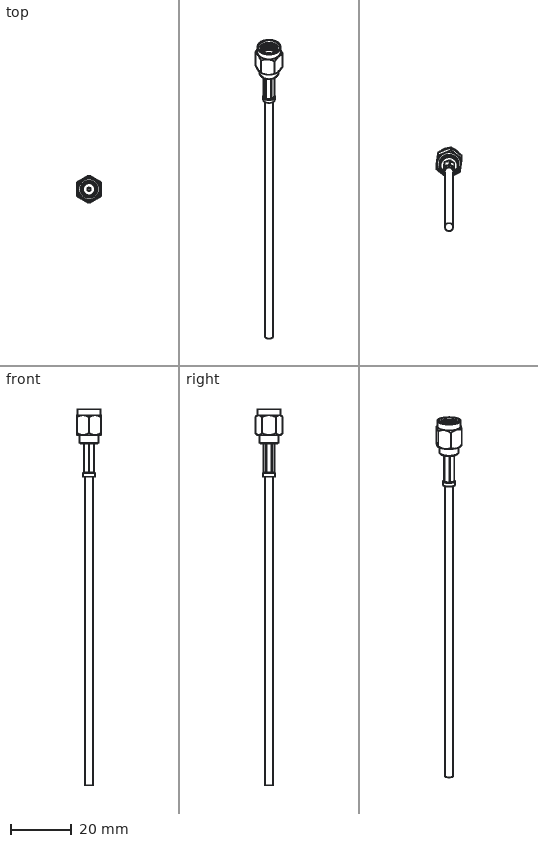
import cadquery as cq

total_length = 123.8

collar_diameter = 7.7
collar_length = 2.0
hex_across_flats = 7.9
hex_corner_diameter = 9.0
hex_length = 6.6
hex_bevel_diameter = 7.8
hex_bevel_height = 0.6
neck_diameter = 6.3
neck_length = 2.8
neck_chamfer = 0.4

thread_major_diameter = 6.3
thread_minor_diameter = 5.6
thread_pitch = 0.6
thread_turns = 8
mouth_diameter = 6.9
mouth_depth = 0.4
insert_diameter = 4.6
insert_bore = 4.0
insert_bore_depth = 1.2
insert_height = 2.5
pin_diameter = 1.16
pin_tip_diameter = 0.92
pin_length = 1.1

crimp_across_flats = 3.3
crimp_corner_diameter = 3.7
crimp_length = 9.4
flange_diameter = 4.0
flange_length = 1.5
flange_chamfer = 0.2

cable_diameter = 2.7

hex_top = total_length - collar_length
hex_bottom = hex_top - hex_length
neck_bottom = hex_bottom - neck_length
flange_top = neck_bottom - crimp_length
flange_bottom = flange_top - flange_length
socket_floor = total_length - mouth_depth - thread_turns * thread_pitch


def cylinder(diameter, bottom, top):
    return cq.Workplane("XY").workplane(offset=bottom).circle(diameter / 2).extrude(top - bottom)


def hexagon(across_flats, bottom, top):
    """Hexagonal prism with flats facing +X and -X."""
    prism = cq.Workplane("XY").workplane(offset=bottom).polygon(6, across_flats, circumscribed=True)
    return prism.extrude(top - bottom)


def make_turned_blank():
    """Round blank, bevelled at both ends, that trims the corners of the wrench hexagon."""
    bevel_radius = hex_bevel_diameter / 2
    corner_radius = hex_corner_diameter / 2
    outline = cq.Workplane("XZ").polyline([
        (0, hex_bottom),
        (bevel_radius, hex_bottom),
        (corner_radius, hex_bottom + hex_bevel_height),
        (corner_radius, hex_top - hex_bevel_height),
        (bevel_radius, hex_top),
        (0, hex_top),
    ])
    return outline.close().revolve(360, (0, 0, 0), (0, 1, 0))


def make_outside():
    """Wrench hexagon with turned-off corners between a round collar and a round neck."""
    wrench_hex = hexagon(hex_across_flats, hex_bottom, hex_top).intersect(make_turned_blank())
    collar = cylinder(collar_diameter, hex_top, total_length)
    neck = cylinder(neck_diameter, neck_bottom, hex_bottom).faces("<Z").chamfer(neck_chamfer)
    return wrench_hex.union(collar).union(neck)


def make_socket():
    """Space inside the socket: a flared mouth over ring-shaped V grooves that stand for the thread."""
    minor_radius = thread_minor_diameter / 2
    major_radius = thread_major_diameter / 2
    outline = cq.Workplane("XZ").moveTo(0, socket_floor).lineTo(minor_radius, socket_floor)
    for turn in range(thread_turns):
        groove_bottom = socket_floor + turn * thread_pitch
        outline = outline.lineTo(major_radius, groove_bottom + thread_pitch / 2)
        outline = outline.lineTo(minor_radius, groove_bottom + thread_pitch)
    outline = outline.lineTo(mouth_diameter / 2, total_length).lineTo(0, total_length).close()
    return outline.revolve(360, (0, 0, 0), (0, 1, 0))


def make_contact():
    """Round insert with a recessed face and a chamfered pin in its centre."""
    insert_top = socket_floor + insert_height
    recess_floor = insert_top - insert_bore_depth
    pin_top = recess_floor + pin_length
    insert = cylinder(insert_diameter, socket_floor, insert_top)
    insert = insert.cut(cylinder(insert_bore, recess_floor, insert_top))
    pin_chamfer = (pin_diameter - pin_tip_diameter) / 2
    pin = cylinder(pin_diameter, recess_floor, pin_top).faces(">Z").chamfer(pin_chamfer)
    return insert.union(pin)


def make_connector():
    return make_outside().cut(make_socket()).union(make_contact())


def make_ferrule():
    """Hexagonal crimp sleeve with a round flange at its lower end, bored for the cable."""
    crimp = hexagon(crimp_across_flats, flange_top, neck_bottom)
    crimp = crimp.intersect(cylinder(crimp_corner_diameter, flange_top, neck_bottom))
    flange = cylinder(flange_diameter, flange_bottom, flange_top).faces(">Z").chamfer(flange_chamfer)
    return crimp.union(flange).cut(cylinder(cable_diameter, flange_bottom, neck_bottom))


def make_cable():
    return cylinder(cable_diameter, 0, neck_bottom)


connector = make_connector()
ferrule = make_ferrule()
cable = make_cable()

result = cq.Compound.makeCompound([connector.val(), ferrule.val(), cable.val()])